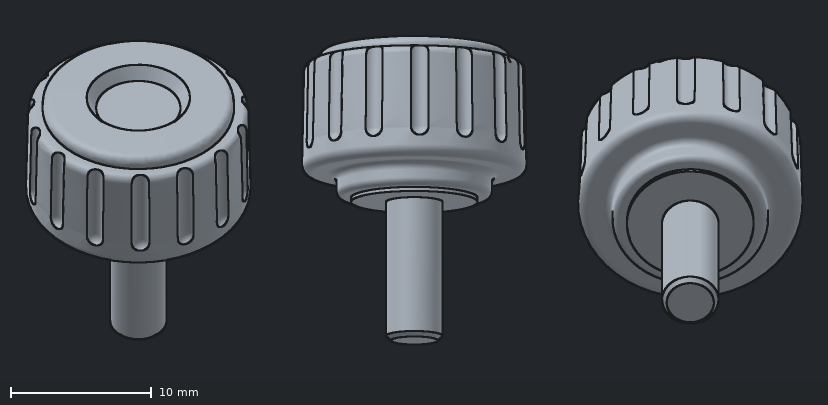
import cadquery as cq

SHANK_RADIUS = 2.01
SHANK_LENGTH = 10.0
SHANK_CHAMFER = 0.34
FLANGE_RADIUS = 4.5
FLANGE_THICKNESS = 0.3

COLLAR_BOTTOM = SHANK_LENGTH + FLANGE_THICKNESS
GRIP_BOTTOM = 11.99
GRIP_TOP = 20.02
LIP_TOP = 20.88
KNOB_TOP = 20.95

COLLAR_RADIUS = 5.53
GRIP_BOTTOM_RADIUS = 8.0
GRIP_TOP_RADIUS = 7.84
LIP_RADIUS = 6.81
RECESS_TOP_RADIUS = 3.67
RECESS_FLOOR_RADIUS = 3.0
RECESS_FLOOR = GRIP_TOP

COLLAR_FILLET = 0.48
NECK_FILLET = 0.59
GRIP_BOTTOM_FILLET = 0.71
GRIP_TOP_FILLET = 0.6
LIP_FILLET = 0.6

FLUTE_COUNT = 15
FLUTE_RADIUS = 0.7
FLUTE_AXIS_OFFSET = 0.27
FLUTE_END_HEIGHT = 14.09
FIRST_FLUTE_ANGLE = -90

WALL_LEAN = (GRIP_BOTTOM_RADIUS - GRIP_TOP_RADIUS) / (GRIP_TOP - GRIP_BOTTOM)


def make_stud():
    shank = cq.Workplane("XY").circle(SHANK_RADIUS).extrude(SHANK_LENGTH)
    shank = shank.faces("<Z").chamfer(SHANK_CHAMFER)
    flange = (
        cq.Workplane("XY", origin=(0, 0, SHANK_LENGTH))
        .circle(FLANGE_RADIUS)
        .extrude(FLANGE_THICKNESS)
    )
    return shank.union(flange)


def round_corner(body, radius, height, fillet):
    """Fillet the circular edge that has the given radius and height."""
    margin = 0.02
    reach = radius + margin
    corner = cq.selectors.BoxSelector(
        (-reach, -reach, height - margin), (reach, reach, height + margin), boundingbox=True
    )
    inner_reach = radius - margin
    inside = cq.selectors.BoxSelector(
        (-inner_reach, -inner_reach, height - margin),
        (inner_reach, inner_reach, height + margin),
        boundingbox=True,
    )
    return body.edges(corner - inside).fillet(fillet)


def make_knob_blank():
    """Revolved knob with the conical recess in its top and all its edges rounded."""
    blank = (
        cq.Workplane("XZ")
        .moveTo(0, COLLAR_BOTTOM)
        .lineTo(COLLAR_RADIUS, COLLAR_BOTTOM)
        .lineTo(COLLAR_RADIUS, GRIP_BOTTOM)
        .lineTo(GRIP_BOTTOM_RADIUS, GRIP_BOTTOM)
        .lineTo(GRIP_TOP_RADIUS, GRIP_TOP)
        .lineTo(LIP_RADIUS, GRIP_TOP)
        .lineTo(LIP_RADIUS, LIP_TOP)
        .lineTo(RECESS_TOP_RADIUS, KNOB_TOP)
        .lineTo(RECESS_FLOOR_RADIUS, RECESS_FLOOR)
        .lineTo(0, RECESS_FLOOR)
        .close()
        .revolve(360, (0, 0), (0, 1))
    )
    blank = round_corner(blank, COLLAR_RADIUS, COLLAR_BOTTOM, COLLAR_FILLET)
    blank = round_corner(blank, COLLAR_RADIUS, GRIP_BOTTOM, NECK_FILLET)
    blank = round_corner(blank, GRIP_BOTTOM_RADIUS, GRIP_BOTTOM, GRIP_BOTTOM_FILLET)
    blank = round_corner(blank, GRIP_TOP_RADIUS, GRIP_TOP, GRIP_TOP_FILLET)
    return round_corner(blank, LIP_RADIUS, LIP_TOP, LIP_FILLET)


def make_flute_cutter():
    """Ball-ended rod on the +X side, leaning inward with the grip wall."""
    end_radius = (
        GRIP_BOTTOM_RADIUS - WALL_LEAN * (FLUTE_END_HEIGHT - GRIP_BOTTOM) + FLUTE_AXIS_OFFSET
    )
    end = cq.Vector(end_radius, 0, FLUTE_END_HEIGHT)
    direction = cq.Vector(-WALL_LEAN, 0, 1)
    length = KNOB_TOP - FLUTE_END_HEIGHT
    rod = cq.Workplane(cq.Solid.makeCylinder(FLUTE_RADIUS, length, end, direction))
    ball = cq.Workplane("XY").sphere(FLUTE_RADIUS).translate(end)
    return rod.union(ball)


def make_knob():
    knob = make_knob_blank()
    cutter = make_flute_cutter()
    for index in range(FLUTE_COUNT):
        angle = FIRST_FLUTE_ANGLE + index * 360 / FLUTE_COUNT
        knob = knob.cut(cutter.rotate((0, 0, 0), (0, 0, 1), angle))
    return knob


stud = make_stud()
knob = make_knob()

result = cq.Compound.makeCompound([stud.val(), knob.val()])